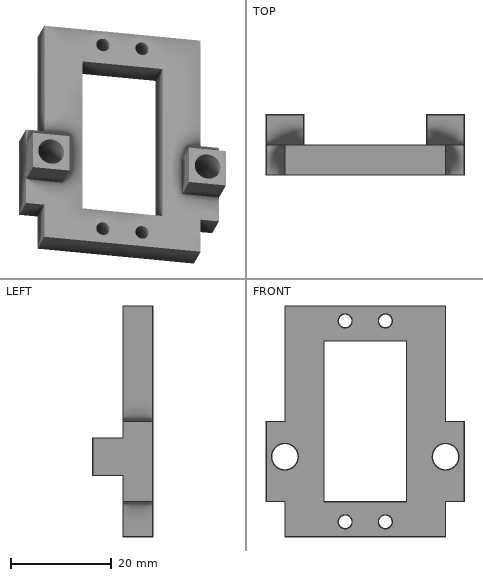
import cadquery as cq

plate_width = 32.0
plate_height = 46.0
plate_thickness = 6.0

window_width = 16.4
window_height = 32.0
frame_margin = (plate_height - window_height) / 2

overall_width = 39.5
ear_height = 16.0

overall_depth = 12.0
boss_width = 7.55
boss_height = 7.5
boss_center_z = 15.95
mount_hole_diameter = 5.25
mount_hole_x = plate_width / 2

screw_hole_diameter = 2.7
screw_hole_spacing = 8.0
screw_hole_edge_distance = 3.0


def block(width, depth, height, center_x, bottom_z):
    """Block with its front face on Y = 0."""
    return (
        cq.Workplane("XY")
        .box(width, depth, height, centered=(True, False, False))
        .translate((center_x, 0, bottom_z))
    )


def through_hole(diameter, x, z):
    """Cutter along +Y through the full depth of the part."""
    return (
        cq.Workplane("XZ")
        .center(x, z)
        .circle(diameter / 2)
        .extrude(-overall_depth)
    )


result = block(plate_width, plate_thickness, plate_height, 0, 0)
result = result.union(block(overall_width, plate_thickness, ear_height, 0, frame_margin))

for side in (-1, 1):
    boss_x = side * (overall_width - boss_width) / 2
    boss_bottom = boss_center_z - boss_height / 2
    result = result.union(block(boss_width, overall_depth, boss_height, boss_x, boss_bottom))

result = result.cut(block(window_width, plate_thickness, window_height, 0, frame_margin))

for side in (-1, 1):
    result = result.cut(through_hole(mount_hole_diameter, side * mount_hole_x, boss_center_z))
    for z in (screw_hole_edge_distance, plate_height - screw_hole_edge_distance):
        result = result.cut(through_hole(screw_hole_diameter, side * screw_hole_spacing / 2, z))